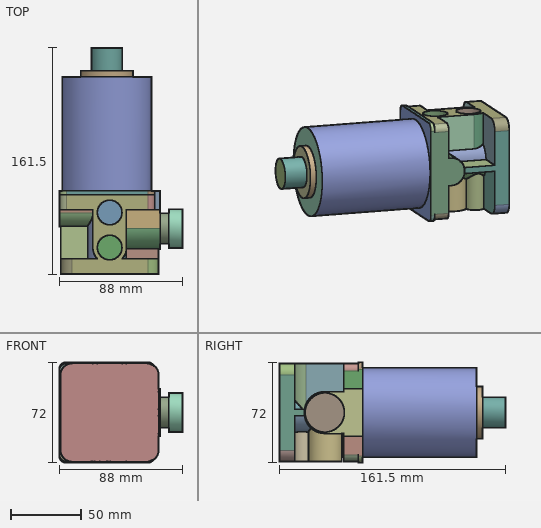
import cadquery as cq


overall_width = 88.0

cap_back = 11.0
base_front = 46.0
flange_front = 56.5
flange_back = 59.5
motor_back = 140.8
hub_back = 145.2
shaft_end = 161.5

motor_diameter = 64.0
hub_diameter = 37.5
shaft_diameter = 22.0

flange_width = 68.0
flange_height = 72.0
base_height = 70.0
base_corner_radius = 5.0

cap_size = 70.0
cap_corner_radius = 8.0
cap_center_x = 2.0

port_block_width = 24.0
port_diameter = 17.6
port_depth = 6.0
port_spacing = 25.0
front_port_y = 19.0
port_positions = [front_port_y, front_port_y + port_spacing]

core_radius = 14.0
left_barrel_radius = 10.0
left_barrel_setback = 2.0
left_barrel_y = base_front - left_barrel_setback
web_thickness = 4.4

connector_y = 32.5
right_barrel_y = 32.8
right_barrel_radius = 15.0
side_face_x = 38.0
side_pad_height = 34.0
neck_diameter = 22.0
neck_end_x = 44.2
head_diameter = 28.0
head_end_x = overall_width - flange_width / 2

main_post_radius = 12.0
small_post_radius = 6.8
small_post_x = -4.4
small_post_y = 16.3

half_height = base_height / 2


def box(x_range, y_range, z_range):
    """Axis-aligned box between pairs of limits."""
    size = [high - low for low, high in (x_range, y_range, z_range)]
    corner = (x_range[0], y_range[0], z_range[0])
    return cq.Workplane("XY").box(*size, centered=False).translate(corner)


def cylinder_x(radius, y, start, end):
    """Cylinder along X at height z = 0."""
    return cq.Workplane("YZ", origin=(start, y, 0)).circle(radius).extrude(end - start)


def cylinder_y(radius, start, end):
    """Cylinder on the motor axis."""
    return cq.Workplane("XZ", origin=(0, start, 0)).circle(radius).extrude(start - end)


def cylinder_z(radius, x, y, start, end):
    """Vertical cylinder."""
    return cq.Workplane("XY", origin=(x, y, start)).circle(radius).extrude(end - start)


def rounded_plate(width, height, corner_radius, center_x, start, end):
    """Plate normal to Y with rounded corners."""
    plate = cq.Workplane("XZ", origin=(center_x, start, 0)).rect(width, height).extrude(start - end)
    return plate.edges("|Y").fillet(corner_radius)


def make_motor():
    """Motor body with its stepped rear end."""
    motor = cylinder_y(motor_diameter / 2, flange_back, motor_back)
    hub = cylinder_y(hub_diameter / 2, motor_back, hub_back)
    shaft = cylinder_y(shaft_diameter / 2, hub_back, shaft_end)
    return motor.union(hub).union(shaft)


def make_plates():
    """Mounting flange, base plate and end cap."""
    flange = rounded_plate(flange_width, flange_height, base_corner_radius, 0, flange_front, flange_back)
    base = rounded_plate(flange_width, base_height, base_corner_radius, 0, base_front, flange_front)
    cap = rounded_plate(cap_size, cap_size, cap_corner_radius, cap_center_x, 0, cap_back)
    return flange.union(base).union(cap)


def make_core():
    """Central barrel and flat web joining the base to the cap."""
    barrel = cylinder_y(core_radius, cap_back, base_front)
    web_left = cap_center_x - cap_size / 2
    web_right = cap_center_x + cap_size / 2
    web_z = (-web_thickness / 2, web_thickness / 2)
    web = box((web_left, web_right), (cap_back, base_front), web_z)
    return barrel.union(web)


def make_port_block():
    """Block with a rounded front end, from the motor axis up to the base top."""
    half_width = port_block_width / 2
    x_range = (cap_center_x - half_width, cap_center_x + half_width)
    block = box(x_range, (front_port_y, base_front), (0, half_height))
    nose = cylinder_z(half_width, cap_center_x, front_port_y, 0, half_height)
    return block.union(nose)


def make_ports():
    """Blind ports sunk from the top; the front one reaches slightly into the cap."""
    ports = cq.Workplane("XY", origin=(0, 0, half_height - port_depth))
    ports = ports.pushPoints([(cap_center_x, y) for y in port_positions])
    return ports.circle(port_diameter / 2).extrude(port_depth)


def make_blended_barrel(radius, y, start, end):
    """Round-nosed bar along X, blending straight back into the base plate."""
    nose = cylinder_x(radius, y, start, end)
    back = box((start, end), (y, base_front), (-radius, radius))
    return nose.union(back)


def make_connector():
    """Right barrel with its pad, carrying the connector neck and head."""
    half_pad = side_pad_height / 2
    pad = box((0, side_face_x), (base_front, flange_back), (-half_pad, half_pad))
    barrel = make_blended_barrel(right_barrel_radius, right_barrel_y, 0, side_face_x)
    neck = cylinder_x(neck_diameter / 2, connector_y, side_face_x, neck_end_x)
    head = cylinder_x(head_diameter / 2, connector_y, neck_end_x, head_end_x)
    return pad.union(barrel).union(neck).union(head)


def make_posts():
    """Two overlapping posts reaching down from the core."""
    main_post = cylinder_z(main_post_radius, cap_center_x, right_barrel_y, -half_height, 0)
    small_post = cylinder_z(small_post_radius, small_post_x, small_post_y, -half_height, 0)
    return main_post.union(small_post)


result = (
    make_plates()
    .union(make_motor())
    .union(make_core())
    .union(make_port_block())
    .union(make_blended_barrel(left_barrel_radius, left_barrel_y, -flange_width / 2, 0))
    .union(make_connector())
    .union(make_posts())
    .cut(make_ports())
)